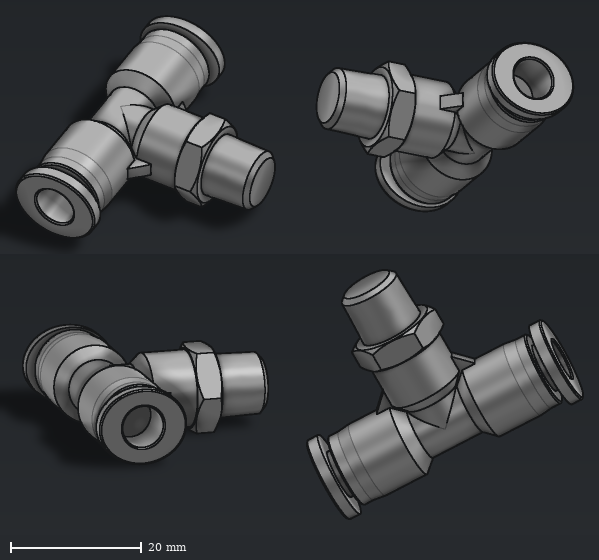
import cadquery as cq
import math


run_half_length = 20.55
flange_width = 13.97
flange_height = 11.9
flange_thickness = 2.0
flange_chamfer = 0.25
neck_diameter = 7.9
bore_diameter = 6.55
bore_chamfer = 0.25

barrel_radius = 6.2
socket_end_y = 17.43
socket_floor_y = 13.65
collar_radius = 5.95
collar_end_chamfer = 0.25
collar_inner_y = 15.58
taper_end_y = 13.6
waist_radius = 4.4
waist_half_length = waist_radius
shoulder_y = 6.35
branch_radius = 6.0
branch_cone_start_x = waist_half_length
branch_cone_end_x = 6.2
rib_thickness = 2.18
rib_reach = 14.8

overall_width = 32.1
hex_start_x = 13.1
hex_length = 4.0
hex_across_flats = 12.7
hex_chamfer_radius = 6.25
hex_chamfer_length = 0.6
thread_base_radius = 5.0
thread_tip_radius = 4.8
thread_chamfer_length = 0.8
thread_end_radius = 4.0

flange_inner_y = run_half_length - flange_thickness
hex_end_x = hex_start_x + hex_length
stud_end_x = overall_width - flange_width / 2
hex_corner_radius = hex_across_flats / math.sqrt(3)


def turned_about_y(points):
    """Solid of revolution about Y from (radius, y) points."""
    return cq.Workplane("XY").polyline(points).close().revolve(360, (0, 0), (0, 1))


def turned_about_x(points):
    """Solid of revolution about X from (x, radius) points."""
    return cq.Workplane("XY").polyline(points).close().revolve(360, (0, 0), (1, 0))


def make_run():
    """Waisted barrel with a tapered collar at each end."""
    upper_profile = [
        (waist_radius, waist_half_length),
        (barrel_radius, shoulder_y),
        (barrel_radius, taper_end_y),
        (collar_radius, collar_inner_y),
        (collar_radius, socket_end_y - collar_end_chamfer),
        (collar_radius - collar_end_chamfer, socket_end_y),
        (0, socket_end_y),
    ]
    lower_profile = [(radius, -y) for radius, y in reversed(upper_profile)]
    return turned_about_y(upper_profile + lower_profile)


def make_branch():
    """Side arm that widens through a cone to meet the hexagon."""
    return turned_about_x([
        (0, 0),
        (0, waist_radius),
        (branch_cone_start_x, waist_radius),
        (branch_cone_end_x, branch_radius),
        (hex_start_x, branch_radius),
        (hex_start_x, 0),
    ])


def make_rib():
    """Flat web that fills both corners between run and branch."""
    half_width = rib_reach - barrel_radius
    branch_meet_x = rib_reach - branch_radius
    return (
        cq.Workplane("XY")
        .polyline([
            (0, half_width),
            (barrel_radius, half_width),
            (branch_meet_x, branch_radius),
            (branch_meet_x, -branch_radius),
            (barrel_radius, -half_width),
            (0, -half_width),
        ])
        .close()
        .extrude(rib_thickness / 2, both=True)
    )


def make_sockets():
    """Blind holes that receive the sleeve necks."""
    socket = (
        cq.Workplane("XZ", origin=(0, -socket_floor_y, 0))
        .circle(neck_diameter / 2)
        .extrude(socket_end_y - socket_floor_y)
    )
    return socket.union(socket.mirror("XZ"))


def make_housing():
    """Tee body with an open socket at each end of the run."""
    return make_run().union(make_branch()).union(make_rib()).cut(make_sockets())


def make_sleeve(side):
    """Oval flanged release sleeve at the -Y (side = -1) or +Y (side = 1) end."""
    flange = (
        cq.Workplane("XZ", origin=(0, -flange_inner_y, 0))
        .ellipse(flange_width / 2, flange_height / 2)
        .extrude(flange_thickness)
        .faces("<Y")
        .chamfer(flange_chamfer)
    )
    neck = (
        cq.Workplane("XZ", origin=(0, -socket_floor_y, 0))
        .circle(neck_diameter / 2)
        .extrude(flange_inner_y - socket_floor_y)
    )
    bore_radius = bore_diameter / 2
    bore = turned_about_y([
        (0, -socket_floor_y),
        (bore_radius, -socket_floor_y),
        (bore_radius, bore_chamfer - run_half_length),
        (bore_radius + bore_chamfer, -run_half_length),
        (0, -run_half_length),
    ])
    sleeve = flange.union(neck).cut(bore)
    return sleeve if side < 0 else sleeve.mirror("XZ")


def make_hexagon():
    """Hexagon with flats facing +/-Z and both ends chamfered conically."""
    prism = (
        cq.Workplane("YZ", origin=(hex_start_x, 0, 0))
        .polygon(6, 2 * hex_corner_radius)
        .extrude(hex_length)
    )
    chamfer_envelope = turned_about_x([
        (hex_start_x, 0),
        (hex_start_x, hex_chamfer_radius),
        (hex_start_x + hex_chamfer_length, hex_corner_radius),
        (hex_end_x - hex_chamfer_length, hex_corner_radius),
        (hex_end_x, hex_chamfer_radius),
        (hex_end_x, 0),
    ])
    return prism.intersect(chamfer_envelope)


def make_stud():
    """Hexagon and plain tapered thread."""
    thread = turned_about_x([
        (hex_end_x, 0),
        (hex_end_x, thread_base_radius),
        (stud_end_x - thread_chamfer_length, thread_tip_radius),
        (stud_end_x, thread_end_radius),
        (stud_end_x, 0),
    ])
    return make_hexagon().union(thread)


housing = make_housing()
stud = make_stud()
sleeves = [make_sleeve(side) for side in (-1, 1)]

result = cq.Compound.makeCompound([
    housing.val(),
    stud.val(),
    *[sleeve.val() for sleeve in sleeves],
])